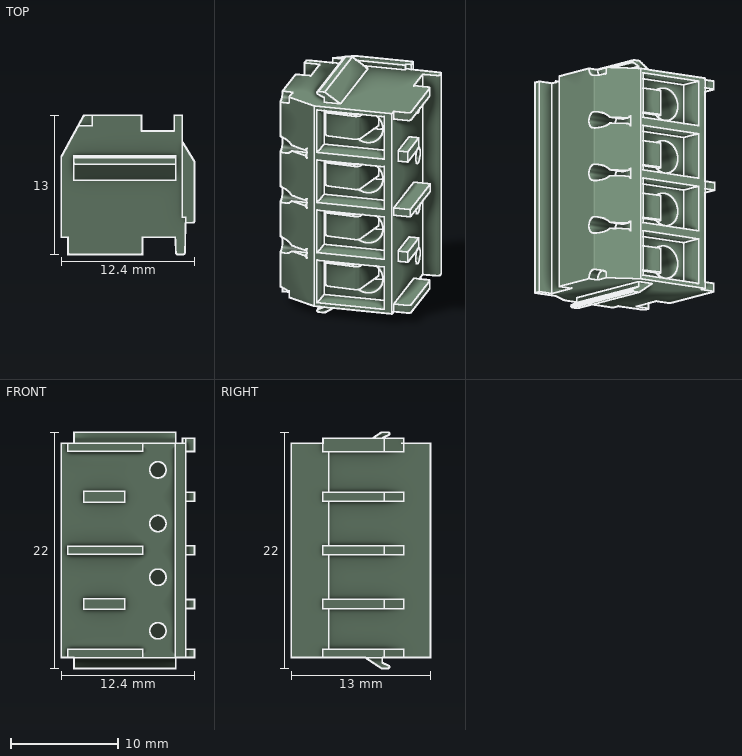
import cadquery as cq
import math


PITCH = 5.0
WAYS = 4
HEIGHT = WAYS * PITCH
DEPTH = 13.0
FACE_Y = 1.6
WALL_X = 11.29
CHAMFER_X = 2.11
CHAMFER_Y = 3.87
NOTCH_LEFT = 7.48
NOTCH_RIGHT = 10.52
NOTCH_FLOOR = 11.53
BACK_CORNER_FILLET = 0.1
CHAMFER_FILLET = 0.22

RAIL_ROOT_X = (10.6, 11.6)
RAIL_TIP_X = (10.67, 11.53)
SHOULDER_Y = 3.5
FOOT_FILLET = 0.25

BAR_LEFT = 0.62
BAR_RIGHT = 7.57
END_BAR_HEIGHT = 0.77
MIDDLE_BAR_HEIGHT = 0.73
STUB_LEFT = 2.1
STUB_RIGHT = 5.92
STUB_HEIGHT = 1.01
STUB_TIP_Y = 0.65

TEST_HOLE_X = 9.0
TEST_HOLE_DIAMETER = 1.52
TEST_HOLE_DEPTH = 4.4

RIB_X = 12.4
RIB_BOTTOM = 2.97
RIB_SHOULDER = 8.67
RIB_TOP = 10.5
RIB_FILLET = 0.18
RIB_HEIGHT = 0.85
BOTTOM_RIB_HEIGHT = 0.8
TOP_RIB_DROP = 0.8
TOP_RIB_RISE = 0.46

LATCH_HEIGHT = 1.01
LATCH_LEFT = 1.17
LATCH_RIGHT = 10.67
LATCH_RAMP_FOOT_Y = 6.9
LATCH_RAMP_TOP_Y = 8.43
LATCH_NECK_Y = 8.5
LATCH_NECK_HEIGHT = 0.46
HOOK_TOP_Y = 9.05
HOOK_NOSE = (9.2, 0.9)
HOOK_UNDERSIDE = (9.15, 0.77)

POCKET_BOTTOM = 2.42
POCKET_TOP = 8.8
POCKET_HEIGHT = 4.22
POCKET_DEPTH = 2.25
MOUTH_DEPTH = 0.92
MOUTH_FLARE = 0.07
WIRE_HOLE_Y = 4.65
WIRE_HOLE_DIAMETER = 3.05

CLAMP_HEIGHT = 2.29
CLAMP_BACK_Y = 8.65
CLAMP_BEND_Y = 8.25
CLAMP_NOSE_Y = 5.76
NOSE_MID_Y = 5.43
NOSE_MID_RISE = 0.4
CLAMP_TIP_Y = 5.24
CLAMP_END_Y = 4.5
CLAMP_RISE = 0.29
CLAMP_NOSE_RISE = 0.46
CLAMP_TIP_RISE = 0.09
CLAMP_TIP_SLOPE = 79.0
CLAMP_TIP_DROP = (CLAMP_TIP_Y - CLAMP_END_Y) * math.tan(math.radians(CLAMP_TIP_SLOPE))
WIRE_HOLE_FLOOR = POCKET_DEPTH - CLAMP_TIP_RISE + CLAMP_TIP_DROP

MARKER_DIAMETER = 1.55
END_MARKER_FLOOR = 12.0
MARKER_FLOOR = 9.95
MARKER_SLOT_WIDTH = 0.55
SLOT_FLARE_WIDTH = 0.92
SLOT_FLARE_LENGTH = 0.22


def block(x0, x1, y0, y1, z0, z1):
    """Box between two corners."""
    return cq.Workplane("XY").box(x1 - x0, y1 - y0, z1 - z0, centered=False).translate((x0, y0, z0))


def centered_block(x0, x1, y0, y1, z_mid, height):
    """Box whose height is centered on z_mid."""
    return block(x0, x1, y0, y1, z_mid - height / 2, z_mid + height / 2)


def cylinder_along_y(x, z, diameter, y0, y1):
    """Round rod parallel to Y."""
    rod = cq.Solid.makeCylinder(diameter / 2, y1 - y0, cq.Vector(x, y0, z), cq.Vector(0, 1, 0))
    return cq.Workplane("XY").add(rod)


def make_housing():
    """Prism with a sloped corner, a notch in the back and the foot rail."""
    outline = [
        (0, FACE_Y),
        (RAIL_ROOT_X[0], FACE_Y),
        (RAIL_TIP_X[0], 0),
        (RAIL_TIP_X[1], 0),
        (RAIL_ROOT_X[1], SHOULDER_Y),
        (WALL_X, SHOULDER_Y),
        (WALL_X, DEPTH),
        (NOTCH_RIGHT, DEPTH),
        (NOTCH_RIGHT, NOTCH_FLOOR),
        (NOTCH_LEFT, NOTCH_FLOOR),
        (NOTCH_LEFT, DEPTH),
        (CHAMFER_X, DEPTH),
        (0, DEPTH - CHAMFER_Y),
    ]
    housing = cq.Workplane("XY").polyline(outline).close().extrude(HEIGHT)
    housing = housing.edges("|Z and <Y").fillet(FOOT_FILLET)
    back_corners = [(WALL_X, BACK_CORNER_FILLET), (CHAMFER_X, CHAMFER_FILLET)]
    for x, radius in back_corners:
        nearest = cq.selectors.NearestToPointSelector((x, DEPTH, HEIGHT / 2))
        housing = housing.edges("|Z").edges(nearest).fillet(radius)
    return housing


def make_bars():
    """Rounded bars at both ends, a plain one in the middle and two short stubs."""
    middle = HEIGHT / 2
    bars = centered_block(BAR_LEFT, BAR_RIGHT, 0, FACE_Y, middle, MIDDLE_BAR_HEIGHT)
    for z in (0, HEIGHT - END_BAR_HEIGHT):
        end_bar = block(BAR_LEFT, BAR_RIGHT, 0, FACE_Y, z, z + END_BAR_HEIGHT)
        bars = bars.add(end_bar.edges("|Z and <Y").fillet(FOOT_FILLET))
    for z in (middle - PITCH, middle + PITCH):
        bars = bars.add(centered_block(STUB_LEFT, STUB_RIGHT, STUB_TIP_Y, FACE_Y, z, STUB_HEIGHT))
    return bars


def make_rib(z0, z1):
    """Rib on the right wall, sloped at the back and stepped around the rail shoulder."""
    outline = [
        (RAIL_ROOT_X[1], RIB_BOTTOM),
        (RIB_X, RIB_BOTTOM),
        (RIB_X, RIB_SHOULDER),
        (WALL_X, RIB_TOP),
        (WALL_X, SHOULDER_Y),
        (RAIL_ROOT_X[1], SHOULDER_Y),
    ]
    rib = cq.Workplane("XY").polyline(outline).close().extrude(z1 - z0).translate((0, 0, z0))
    root = block(RAIL_TIP_X[1], RAIL_ROOT_X[1], RIB_BOTTOM, SHOULDER_Y, max(z0, 0), min(z1, HEIGHT))
    outer_corner = cq.selectors.NearestToPointSelector((RIB_X, RIB_BOTTOM, z0))
    return rib.edges("|Z").edges(outer_corner).fillet(RIB_FILLET).union(root)


def make_ribs():
    """One rib at each boundary between ways and one at each end."""
    ribs = make_rib(0, BOTTOM_RIB_HEIGHT)
    ribs = ribs.add(make_rib(HEIGHT - TOP_RIB_DROP, HEIGHT + TOP_RIB_RISE))
    for i in range(1, WAYS):
        z = i * PITCH
        ribs = ribs.add(make_rib(z - RIB_HEIGHT / 2, z + RIB_HEIGHT / 2))
    return ribs


def make_latch():
    """Hooked latch on the top end."""
    profile = [
        (LATCH_RAMP_FOOT_Y, 0),
        (LATCH_RAMP_TOP_Y, LATCH_HEIGHT),
        (HOOK_TOP_Y, LATCH_HEIGHT),
        HOOK_NOSE,
        HOOK_UNDERSIDE,
        (LATCH_NECK_Y, LATCH_NECK_HEIGHT),
        (LATCH_NECK_Y, 0),
    ]
    latch = cq.Workplane("YZ").polyline(profile).close().extrude(LATCH_RIGHT - LATCH_LEFT)
    return latch.translate((LATCH_LEFT, 0, HEIGHT))


def make_clamp(z_mid):
    """Spring with a gently rising back, a rounded nose and a tip that dips into the wire hole."""
    floor = POCKET_DEPTH
    clamp = (
        cq.Workplane("XY")
        .moveTo(floor - CLAMP_NOSE_RISE, CLAMP_NOSE_Y)
        .lineTo(floor - CLAMP_RISE, CLAMP_BEND_Y)
        .tangentArcPoint((floor, CLAMP_BACK_Y), relative=False)
        .lineTo(WIRE_HOLE_FLOOR, CLAMP_BACK_Y)
        .lineTo(WIRE_HOLE_FLOOR, CLAMP_END_Y)
        .lineTo(floor - CLAMP_TIP_RISE, CLAMP_TIP_Y)
        .threePointArc((floor - NOSE_MID_RISE, NOSE_MID_Y), (floor - CLAMP_NOSE_RISE, CLAMP_NOSE_Y))
        .close()
        .extrude(CLAMP_HEIGHT)
    )
    return clamp.translate((0, 0, z_mid - CLAMP_HEIGHT / 2))


def make_wire_entry(z_mid):
    """Pocket with a flared mouth and a round wire hole, less the clamp spring."""
    flared = [
        (0, POCKET_BOTTOM - MOUTH_FLARE),
        (MOUTH_DEPTH, POCKET_BOTTOM),
        (POCKET_DEPTH, POCKET_BOTTOM),
        (POCKET_DEPTH, POCKET_TOP),
        (MOUTH_DEPTH, POCKET_TOP),
        (0, POCKET_TOP + MOUTH_FLARE),
    ]
    pocket = cq.Workplane("XY").polyline(flared).close().extrude(POCKET_HEIGHT)
    pocket = pocket.translate((0, 0, z_mid - POCKET_HEIGHT / 2))
    wire_hole = (
        cq.Workplane("YZ", origin=(POCKET_DEPTH, WIRE_HOLE_Y, z_mid))
        .circle(WIRE_HOLE_DIAMETER / 2)
        .extrude(WIRE_HOLE_FLOOR - POCKET_DEPTH)
    )
    return pocket.union(wire_hole).cut(make_clamp(z_mid))


def make_marker(z):
    """Deep marker hole with a slot, flared at its lower end, that opens through the slope."""
    hole = cylinder_along_y(CHAMFER_X, z, MARKER_DIAMETER, MARKER_FLOOR, DEPTH)
    flare_top = MARKER_FLOOR + SLOT_FLARE_LENGTH
    half_slot = MARKER_SLOT_WIDTH / 2
    half_flare = SLOT_FLARE_WIDTH / 2
    outline = [
        (MARKER_FLOOR, z - half_flare),
        (MARKER_FLOOR, z + half_flare),
        (flare_top, z + half_slot),
        (DEPTH, z + half_slot),
        (DEPTH, z - half_slot),
        (flare_top, z - half_slot),
    ]
    slot = cq.Workplane("YZ").polyline(outline).close().extrude(CHAMFER_X)
    return hole.union(slot)


latch = make_latch()
bottom_latch = latch.mirror("XY", (0, 0, HEIGHT / 2))
added_solids = make_bars().vals() + make_ribs().vals() + latch.vals() + bottom_latch.vals()

result = make_housing()
for solid in added_solids:
    result = result.union(cq.Workplane(solid))

test_hole_end = FACE_Y + TEST_HOLE_DEPTH
for way in range(WAYS):
    way_middle = (way + 0.5) * PITCH
    test_hole = cylinder_along_y(TEST_HOLE_X, way_middle, TEST_HOLE_DIAMETER, FACE_Y, test_hole_end)
    result = result.cut(make_wire_entry(way_middle))
    result = result.cut(test_hole)

for boundary in range(1, WAYS):
    result = result.cut(make_marker(boundary * PITCH))

for end in (0, HEIGHT):
    result = result.cut(cylinder_along_y(CHAMFER_X, end, MARKER_DIAMETER, END_MARKER_FLOOR, DEPTH))